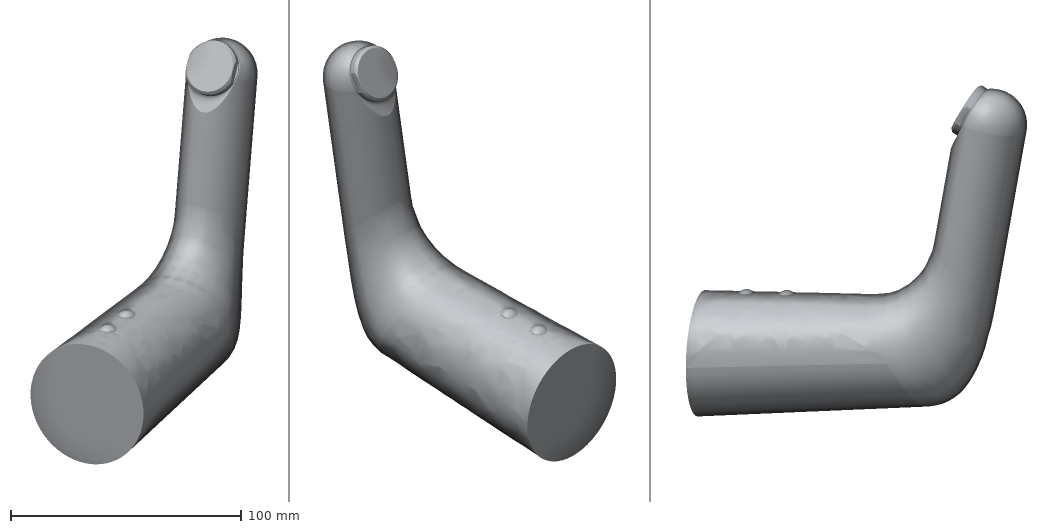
import cadquery as cq
import math

cutter_size = 61.7

base_radius = 27.5
lower_joint_inner = cq.Vector(0, 75.8, 30.4)
lower_joint_outer = cq.Vector(0, 103.0, -16.8)
lower_joint_half_width = 24.7

overall_depth = 145.3
neck_diameter = 31.0
neck_radius = neck_diameter / 2
neck_lean = math.radians(10)
ball_centre = cq.Vector(0, overall_depth - neck_radius, 110.2)
neck_axis = cq.Vector(0, math.sin(neck_lean), math.cos(neck_lean))
neck_side = cq.Vector(0, math.cos(neck_lean), -math.sin(neck_lean))
neck_length = 67.5
upper_joint_angle = math.radians(45)

elbow_steps = 8
inner_fullness = 0.6
outer_fullness = 0.7
grip_end_width_slope = -3.9

nozzle_radius = 12.0
nozzle_tilt = math.radians(30)
nozzle_seat_distance = 9.4
nozzle_height = 4.2
nozzle_chamfer = 1.1
nozzle_collar_height = 0.6
nozzle_flat_offset = 11.1

button_radius = 3.5
button_dome_height = 1.5
button_seat_depth = 1.0
button_positions = [20.0, 38.1]


def section(inner, outer, half_width):
    """Closed elliptical wire spanning inner to outer in the YZ plane, half_width along X."""
    long_axis = outer - inner
    normal = cq.Vector(1, 0, 0).cross(long_axis)
    plane = cq.Plane(origin=(inner + outer) * 0.5, xDir=(1, 0, 0), normal=normal)
    return cq.Workplane(plane).ellipse(half_width, long_axis.Length / 2).wire().val()


def crossing(point, direction, other_point, other_direction):
    """Point where two lines in the YZ plane meet."""
    gap = other_point - point
    turn = direction.cross(other_direction).x
    return point + direction * (gap.cross(other_direction).x / turn)


def blend(start, corner, end, fullness, t):
    """Cubic curve from start to end, tangent to the lines that meet at corner."""
    start_handle = start + (corner - start) * fullness
    end_handle = end + (corner - end) * fullness
    s = 1 - t
    return start * s**3 + start_handle * (3 * s * s * t) + end_handle * (3 * s * t * t) + end * t**3


def elbow_half_width(t):
    """Half width along X: keeps the taper of the grip at t = 0 and levels out at t = 1."""
    drop = lower_joint_half_width - neck_radius
    return lower_joint_half_width - drop * t * t * (3 - 2 * t) + grip_end_width_slope * t * (1 - t) ** 2


upper_joint_centre = ball_centre - neck_axis * neck_length
upper_joint_rise = neck_radius * math.tan(upper_joint_angle - neck_lean)
upper_joint_half = neck_side * neck_radius - neck_axis * upper_joint_rise
upper_joint_inner = upper_joint_centre - upper_joint_half
upper_joint_outer = upper_joint_centre + upper_joint_half

base_top = cq.Vector(0, 0, base_radius)
base_bottom = cq.Vector(0, 0, -base_radius)


def make_grip():
    """Straight-sided blend from the round base to the slanted lower joint."""
    return cq.Solid.makeLoft([
        section(base_top, base_bottom, base_radius),
        section(lower_joint_inner, lower_joint_outer, lower_joint_half_width),
    ], True)


def make_elbow():
    """Smooth loft between the two joints, tangent to the grip and neck outlines."""
    inner_corner = crossing(lower_joint_inner, lower_joint_inner - base_top, upper_joint_inner, neck_axis)
    outer_corner = crossing(lower_joint_outer, lower_joint_outer - base_bottom, upper_joint_outer, neck_axis)
    sections = []
    for step in range(elbow_steps + 1):
        t = step / elbow_steps
        inner = blend(lower_joint_inner, inner_corner, upper_joint_inner, inner_fullness, t)
        outer = blend(lower_joint_outer, outer_corner, upper_joint_outer, outer_fullness, t)
        sections.append(section(inner, outer, elbow_half_width(t)))
    return cq.Solid.makeLoft(sections)


def make_neck():
    """Tube from the slanted joint up to the ball, with the ball on its end."""
    tube_length = neck_length + upper_joint_rise
    tube = cq.Solid.makeCylinder(neck_radius, tube_length, ball_centre - neck_axis * tube_length, neck_axis)
    joint_plane = cq.Plane(
        origin=upper_joint_centre, xDir=(1, 0, 0), normal=upper_joint_half.cross(cq.Vector(1, 0, 0)))
    below_joint = cq.Workplane(joint_plane).rect(cutter_size, cutter_size).extrude(cutter_size)
    dome_plane = cq.Plane(origin=ball_centre, xDir=(1, 0, 0), normal=neck_axis)
    ball = cq.Workplane(dome_plane).sphere(neck_radius)
    return cq.Workplane(tube).cut(below_joint).union(ball)


def nozzle_plane(distance):
    """Plane across the nozzle axis at a distance from the ball centre."""
    axis = cq.Vector(0, -math.cos(nozzle_tilt), math.sin(nozzle_tilt))
    return cq.Plane(origin=ball_centre + axis * distance, xDir=(1, 0, 0), normal=axis)


def make_nozzle():
    """Disc with two side flats and a chamfered face, above a round collar."""
    face = cq.selectors.DirectionMinMaxSelector(nozzle_plane(0).zDir, True)
    seat_plane = nozzle_plane(nozzle_seat_distance)
    collar_top_plane = nozzle_plane(nozzle_seat_distance + nozzle_collar_height)
    disc = (
        cq.Workplane(seat_plane)
        .circle(nozzle_radius)
        .extrude(nozzle_height)
        .faces(face)
        .chamfer(nozzle_chamfer)
    )
    flat_bar = (
        cq.Workplane(collar_top_plane)
        .rect(2 * nozzle_flat_offset, cutter_size)
        .extrude(nozzle_height - nozzle_collar_height)
    )
    collar = cq.Workplane(seat_plane).circle(nozzle_radius).extrude(nozzle_collar_height)
    return disc.intersect(flat_bar).union(collar)


def make_button(position):
    """Spherical dome on a short round seat, square to the top line of the grip."""
    top_line = lower_joint_inner - base_top
    origin = base_top + top_line * (position / top_line.y)
    plane = cq.Plane(origin=origin, xDir=(1, 0, 0), normal=top_line * -1)
    dome_radius = (button_radius**2 + button_dome_height**2) / (2 * button_dome_height)
    half_angle = math.asin(button_radius / dome_radius) / 2
    dome_middle = (
        dome_radius * math.sin(half_angle),
        button_dome_height - dome_radius * (1 - math.cos(half_angle)),
    )
    return (
        cq.Workplane(plane)
        .moveTo(0, -button_seat_depth)
        .lineTo(button_radius, -button_seat_depth)
        .lineTo(button_radius, 0)
        .threePointArc(dome_middle, (0, button_dome_height))
        .close()
        .revolve(360, (0, 0, 0), (0, 1, 0))
    )


def make_housing(buttons):
    """Grip, elbow, neck and nozzle in one piece, with a recess for each button."""
    ball_trim = (
        cq.Workplane(nozzle_plane(nozzle_seat_distance)).rect(cutter_size, cutter_size).extrude(neck_radius)
    )
    neck = make_neck().cut(ball_trim)
    housing = cq.Workplane(make_grip()).union(cq.Workplane(make_elbow())).union(neck).union(make_nozzle())
    for button in buttons:
        housing = housing.cut(button)
    return housing


buttons = [make_button(position) for position in button_positions]
housing = make_housing(buttons)
result = cq.Compound.makeCompound([housing.val(), *[button.val() for button in buttons]])